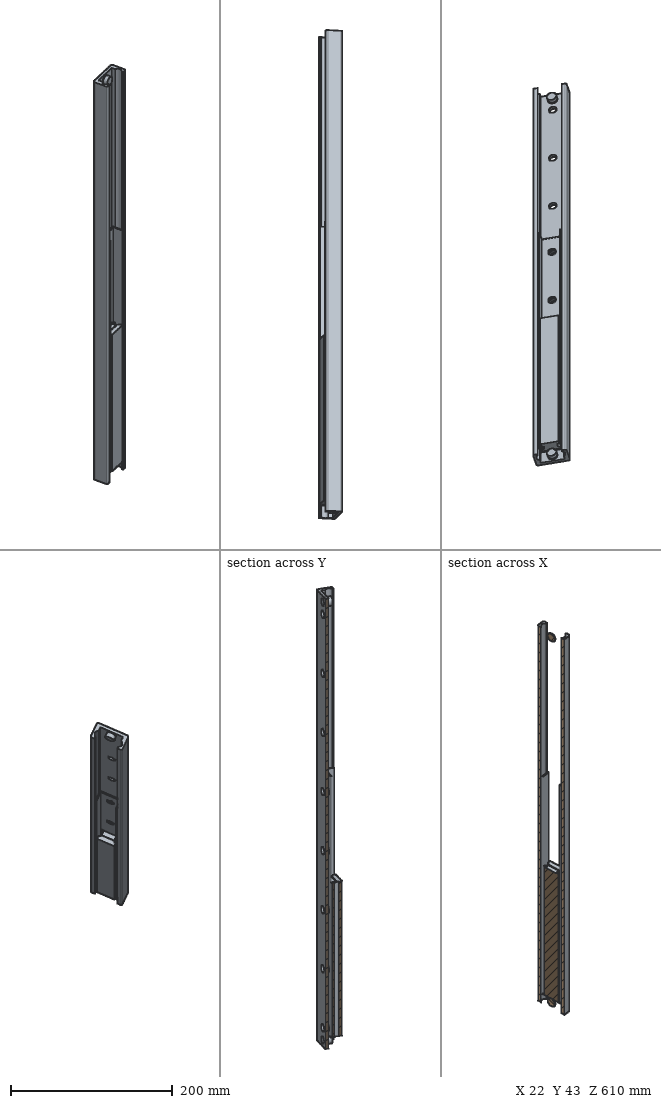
import cadquery as cq

rail_length = 610.0
rail_width = 43.0
rail_depth = 21.0
web_thickness = 4.0
flange_thickness = 6.0
corner_radius = 2.5
lip_radius = 2.0

rail_groove_radius = 5.0
rail_groove_x = 14.0
rail_groove_depth = 3.0

hole_diameter = 10.0
hole_count = 8
first_hole_z = 25.0
hole_pitch = (rail_length - 2 * first_hole_z) / (hole_count - 1)

stop_shank_diameter = hole_diameter
stop_head_diameter = 12.0
stop_length = 11.0
stop_end_distance = 8.5
stop_heights = [stop_end_distance, rail_length - stop_end_distance]

cage_bottom_z = 14.5
cage_length = 354.0
cage_wall = 1.5
cage_start_x = 7.0
cage_inner_half_width = 13.0

slider_length = 210.0
slider_start_x = 8.5
slider_end_x = 22.0
slider_half_width = 11.5
slider_groove_x = 14.5
slider_groove_radius = 3.0

recess_depth = 1.0
recess_half_width = 8.5
recess_end_x = 15.0

rail_half_width = rail_width / 2
cage_half_width = cage_inner_half_width + cage_wall
rail_inner_y = rail_half_width - flange_thickness
hole_heights = [first_hole_z + i * hole_pitch for i in range(hole_count)]


def block(x_start, x_end, half_width, z_start, length):
    """A box along Z, symmetric about the XZ plane."""
    return (
        cq.Workplane("XY", origin=(0, 0, z_start))
        .center((x_start + x_end) / 2, 0)
        .rect(x_end - x_start, 2 * half_width)
        .extrude(length)
    )


def groove_rods(x, y, radius, z_start, length):
    """Two round rods along Z, one on each side of the XZ plane."""
    return (
        cq.Workplane("XY", origin=(0, 0, z_start))
        .pushPoints([(x, y), (x, -y)])
        .circle(radius)
        .extrude(length)
    )


def cross_rods(diameter, x_start, x_end, heights):
    """Round rods along X, one at each height."""
    return (
        cq.Workplane("YZ", origin=(x_start, 0, 0))
        .pushPoints([(0, z) for z in heights])
        .circle(diameter / 2)
        .extrude(x_end - x_start)
    )


def make_rail():
    body = block(0, rail_depth, rail_half_width, 0, rail_length)
    body = body.edges("|Z and <X").fillet(corner_radius)
    body = body.edges("|Z and >X").fillet(lip_radius)
    body = body.cut(block(web_thickness, rail_depth, rail_inner_y, 0, rail_length))
    groove_y = rail_inner_y + rail_groove_depth - rail_groove_radius
    body = body.cut(groove_rods(rail_groove_x, groove_y, rail_groove_radius, 0, rail_length))
    body = body.cut(cross_rods(hole_diameter, 0, web_thickness, hole_heights))
    return body.cut(cross_rods(stop_shank_diameter, 0, web_thickness, stop_heights))


def make_end_stop(z):
    shank = cross_rods(stop_shank_diameter, 0, web_thickness, [z])
    head = cross_rods(stop_head_diameter, web_thickness, stop_length, [z])
    return shank.union(head)


def make_cage():
    inner_x = cage_start_x + cage_wall
    body = block(cage_start_x, rail_depth, cage_half_width, cage_bottom_z, cage_length)
    body = body.cut(block(inner_x, rail_depth, cage_inner_half_width, cage_bottom_z, cage_length))
    holes_in_cage = [z for z in hole_heights if z < cage_bottom_z + cage_length]
    return body.cut(cross_rods(hole_diameter, cage_start_x, inner_x, holes_in_cage))


def make_slider():
    body = block(slider_start_x, slider_end_x, slider_half_width, cage_bottom_z, slider_length)
    body = body.cut(
        groove_rods(
            slider_groove_x, slider_half_width, slider_groove_radius, cage_bottom_z, slider_length
        )
    )
    recess_z = cage_bottom_z + slider_length - recess_depth
    return body.cut(block(slider_start_x, recess_end_x, recess_half_width, recess_z, recess_depth))


rail = make_rail()
end_stops = [make_end_stop(z).val() for z in stop_heights]
cage = make_cage()
slider = make_slider()

result = cq.Compound.makeCompound([rail.val(), cage.val(), slider.val(), *end_stops])